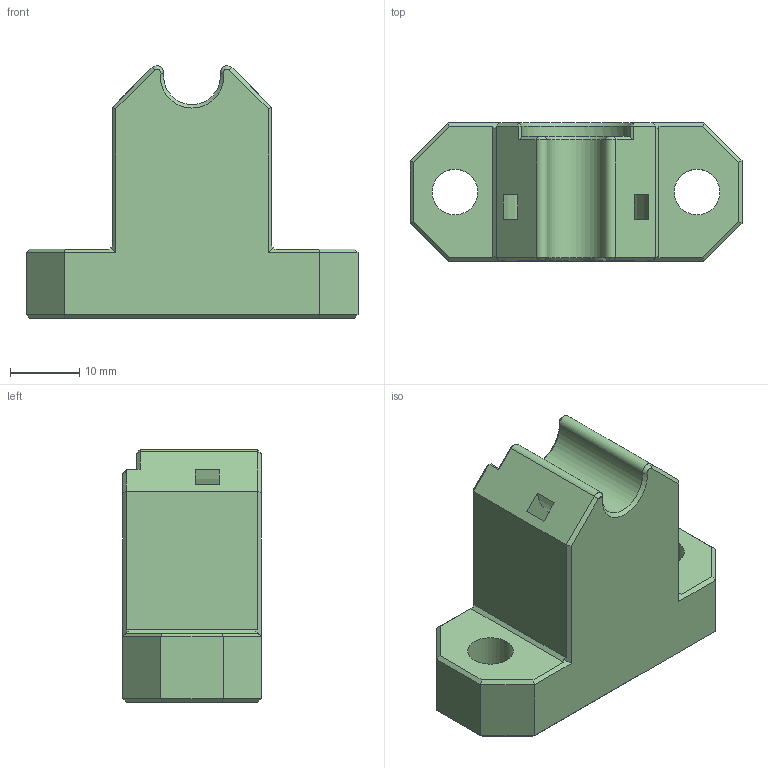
import cadquery as cq
import math

base_length = 48.0
depth = 20.0
base_height = 10.0
corner_cut = 5.5
hole_diameter = 6.6
hole_spacing = 35.0

tower_width = 23.0
shoulder_height = 30.5
slope_height_at_center = shoulder_height + tower_width / 2
rod_height = 35.0
groove_radius = 4.1
lip_radius = 1.0

recess_radius = 8.0
recess_depth = 2.0

channel_inner_radius = 8.5
channel_outer_radius = 11.1
channel_width = 3.5
channel_center_y = -2.2

edge_chamfer = 0.5

back_y = depth / 2


def rod_cylinder(radius, start_y, length):
    """Cylinder around the rod axis, running toward +Y from start_y."""
    return cq.Workplane(cq.Solid.makeCylinder(
        radius, length, cq.Vector(0, start_y, rod_height), cq.Vector(0, 1, 0)))


def make_base():
    """Foot plate with cut corners and chamfered top and bottom rims."""
    base = cq.Workplane("XY").box(base_length, depth, base_height, centered=(True, True, False))
    base = base.edges("|Z").chamfer(corner_cut)
    return base.faces("<Z or >Z").edges().chamfer(edge_chamfer)


def polar_point(center, radius, angle):
    """Point in the X-Z plane, with the angle measured from +X toward +Z."""
    return (center[0] + radius * math.cos(angle), center[1] + radius * math.sin(angle))


def mirrored(point):
    return (-point[0], point[1])


def make_tower():
    """Tower running down through the foot, with the rod groove and rounded lips at the top."""
    half_width = tower_width / 2
    rod_center = (0, rod_height)

    slope_normal = math.radians(45)
    rod_to_slope = (slope_height_at_center - rod_height) * math.sin(slope_normal)
    lip_center_distance = groove_radius + lip_radius
    lip_angle = slope_normal - math.acos((rod_to_slope - lip_radius) / lip_center_distance)
    lip_center = polar_point(rod_center, lip_center_distance, lip_angle)
    lip_outer = polar_point(lip_center, lip_radius, slope_normal)
    lip_middle = polar_point(lip_center, lip_radius, (slope_normal + lip_angle + math.pi) / 2)
    lip_inner = polar_point(rod_center, groove_radius, lip_angle)

    return (
        cq.Workplane("XZ", origin=(0, back_y, 0))
        .moveTo(-half_width, 0)
        .lineTo(-half_width, shoulder_height)
        .lineTo(*mirrored(lip_outer))
        .threePointArc(mirrored(lip_middle), mirrored(lip_inner))
        .threePointArc((0, rod_height - groove_radius), lip_inner)
        .threePointArc(lip_middle, lip_outer)
        .lineTo(half_width, shoulder_height)
        .lineTo(half_width, 0)
        .close()
        .extrude(depth)
    )


def cut_recess(tower):
    recess_floor_y = back_y - recess_depth
    return tower.cut(rod_cylinder(recess_radius, recess_floor_y, recess_depth))


def chamfer_tower(tower):
    """Chamfer both end faces and the recess opening; the round root of the recess stays sharp."""
    recess_opening = cq.selectors.BoxSelector(
        (-tower_width / 2, back_y - 1.25 * recess_depth, rod_height - recess_radius / 2),
        (tower_width / 2, back_y - 0.25 * recess_depth, slope_height_at_center),
    )
    end_edges = tower.faces("<Y or >Y").edges()
    return end_edges.add(tower.edges(recess_opening)).chamfer(edge_chamfer)


def chamfer_tower_roots(body):
    """Fill the inner corners where the tower sides meet the foot top with 45 degree strips."""
    for side in (-1, 1):
        root = cq.selectors.NearestToPointSelector((side * tower_width / 2, 0, base_height))
        body = body.edges("|Y").edges(root).chamfer(edge_chamfer)
    return body


def cut_tie_channel(body):
    start_y = channel_center_y - channel_width / 2
    outer = rod_cylinder(channel_outer_radius, start_y, channel_width)
    inner = rod_cylinder(channel_inner_radius, start_y, channel_width)
    return body.cut(outer.cut(inner))


def drill_mounting_holes(body):
    holes = (
        cq.Workplane("XY")
        .pushPoints([(-hole_spacing / 2, 0), (hole_spacing / 2, 0)])
        .circle(hole_diameter / 2)
        .extrude(base_height)
    )
    return body.cut(holes)


tower = chamfer_tower(cut_recess(make_tower()))
body = make_base().union(tower)
body = chamfer_tower_roots(body)
body = cut_tie_channel(body)
result = drill_mounting_holes(body)